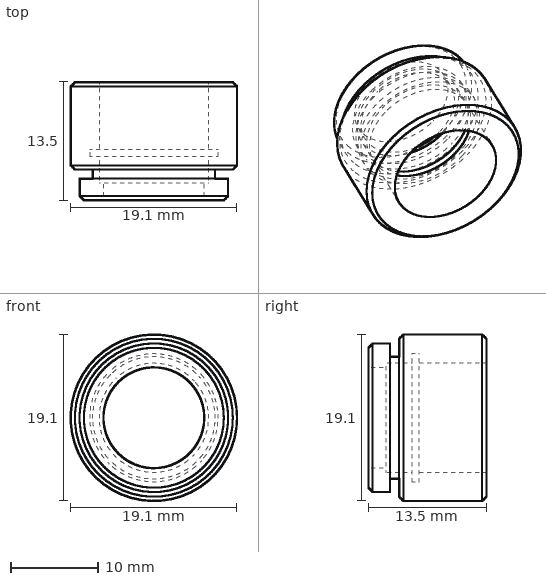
import cadquery as cq

body_diameter = 19.05
flange_diameter = 17.0
neck_diameter = 14.0

total_length = 13.5
flange_length = 2.5
body_length = 10.0
body_start = total_length - body_length
chamfer = 0.5

lip_bore_diameter = 11.5
main_bore_diameter = 12.5
lip_length = 2.0

groove_diameter = 14.67
groove_start = 5.0
groove_width = 0.82


def disc(diameter, start, end):
    """Solid cylinder on the Y axis between two Y positions."""
    plane = cq.Workplane("XZ", origin=(0, start, 0))
    return plane.circle(diameter / 2).extrude(start - end)


flange = disc(flange_diameter, 0, flange_length).faces("<Y").chamfer(chamfer)
neck = disc(neck_diameter, flange_length, body_start)
body = disc(body_diameter, body_start, total_length).faces("<Y or >Y").chamfer(chamfer)

lip_bore = disc(lip_bore_diameter, 0, lip_length)
main_bore = disc(main_bore_diameter, lip_length, total_length)
ring_groove = disc(groove_diameter, groove_start, groove_start + groove_width)

result = flange.union(neck).union(body).cut(lip_bore).cut(main_bore).cut(ring_groove)